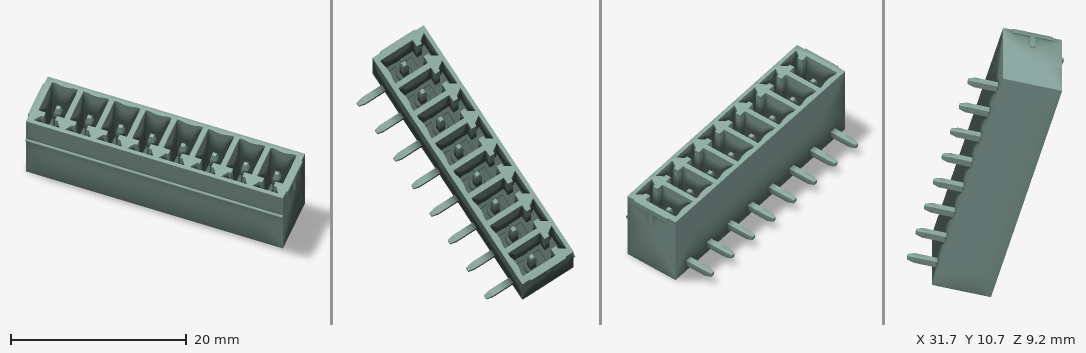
import cadquery as cq


TOTAL_LENGTH = 31.67
PAD_THICKNESS = 0.15
BODY_LENGTH = TOTAL_LENGTH - 2 * PAD_THICKNESS
BODY_DEPTH = 6.97
BODY_HEIGHT = 9.2

CELL_COUNT = 8
PITCH = 3.81
CELL_CENTERS = [(i - (CELL_COUNT - 1) / 2) * PITCH for i in range(CELL_COUNT)]

RIDGE_RADIUS = 0.22
RIDGE_Z = 5.8

PAD_BAR_WIDTH = 4.75
PAD_BAR_HEIGHT = 0.65
PAD_STEM_WIDTH = 0.57
PAD_HEIGHT = 2.47

CELL_WIDTH = 3.17
CELL_BACK = -0.57
CELL_FRONT = -4.97
CELL_FLOOR_Z = 2.53
BULGE_WIDTH = 2.22
BULGE_SAG = 0.175

NECK_WIDTH = 1.4
DOVETAIL_BACK = -5.65
DOVETAIL_FRONT = -6.5
DOVETAIL_BACK_WIDTH = 2.05

RECESS_DEPTH = 0.32
RECESS_Z = CELL_FLOOR_Z - RECESS_DEPTH
RECESS_FRONT = -4.5
CROSS_ARM_DEPTH = 0.85

BOSS_BASE_RADIUS = 0.95
BOSS_HEIGHT = 0.32
BOSS_ROUNDING = 0.25

PIN_SIZE = 0.8
PIN_Y = -2.8
TAIL_Z = 1.25
TAIL_LENGTH = 3.5
PIN_TOP_Z = 7.85
TIP_SIZE = 0.48
TIP_LENGTH = 0.75


def block(x_size, y_min, y_max, z_min, z_max):
    """Box centred on X = 0 between the given Y and Z limits."""
    return (
        cq.Workplane("XY", origin=(0, (y_min + y_max) / 2, z_min))
        .rect(x_size, y_max - y_min)
        .extrude(z_max - z_min)
    )


def ridge():
    return (
        cq.Workplane("YZ", origin=(-BODY_LENGTH / 2, -BODY_DEPTH, RIDGE_Z))
        .circle(RIDGE_RADIUS)
        .extrude(BODY_LENGTH)
    )


def end_pads():
    """T-shaped pads on both end faces, made as one T running the whole length."""
    middle_y = -BODY_DEPTH / 2
    bar = block(
        TOTAL_LENGTH,
        middle_y - PAD_BAR_WIDTH / 2,
        middle_y + PAD_BAR_WIDTH / 2,
        BODY_HEIGHT - PAD_BAR_HEIGHT,
        BODY_HEIGHT,
    )
    stem_radius = PAD_STEM_WIDTH / 2
    stem_end_z = BODY_HEIGHT - PAD_HEIGHT + stem_radius
    stem = block(TOTAL_LENGTH, middle_y - stem_radius, middle_y + stem_radius, stem_end_z, BODY_HEIGHT)
    stem_end = (
        cq.Workplane("YZ", origin=(-TOTAL_LENGTH / 2, middle_y, stem_end_z))
        .circle(stem_radius)
        .extrude(TOTAL_LENGTH)
    )
    return bar.union(stem).union(stem_end)


def cell_opening():
    """Cell and dovetail slot, with the back wall bulging into the cell."""
    half_cell = CELL_WIDTH / 2
    half_bulge = BULGE_WIDTH / 2
    half_neck = NECK_WIDTH / 2
    half_dovetail = DOVETAIL_BACK_WIDTH / 2
    return (
        cq.Workplane("XY", origin=(0, 0, RECESS_Z))
        .moveTo(-half_cell, CELL_BACK)
        .lineTo(-half_bulge, CELL_BACK)
        .threePointArc((0, CELL_BACK - BULGE_SAG), (half_bulge, CELL_BACK))
        .lineTo(half_cell, CELL_BACK)
        .lineTo(half_cell, CELL_FRONT)
        .lineTo(half_neck, CELL_FRONT)
        .lineTo(half_neck, DOVETAIL_BACK)
        .lineTo(half_dovetail, DOVETAIL_BACK)
        .lineTo(half_cell, DOVETAIL_FRONT)
        .lineTo(-half_cell, DOVETAIL_FRONT)
        .lineTo(-half_dovetail, DOVETAIL_BACK)
        .lineTo(-half_neck, DOVETAIL_BACK)
        .lineTo(-half_neck, CELL_FRONT)
        .lineTo(-half_cell, CELL_FRONT)
        .close()
        .extrude(BODY_HEIGHT - RECESS_Z)
    )


def floor_ledge():
    """Raised floor left around the cross-shaped recess."""
    floor = block(CELL_WIDTH, DOVETAIL_FRONT, CELL_BACK, RECESS_Z, CELL_FLOOR_Z)
    recess = block(BULGE_WIDTH, RECESS_FRONT, CELL_BACK, RECESS_Z, CELL_FLOOR_Z)
    half_arm = CROSS_ARM_DEPTH / 2
    arms = block(CELL_WIDTH, PIN_Y - half_arm, PIN_Y + half_arm, RECESS_Z, CELL_FLOOR_Z)
    return floor.cut(recess).cut(arms)


def boss():
    """Low round boss with a rounded shoulder."""
    return (
        cq.Workplane("XY", origin=(0, PIN_Y, RECESS_Z))
        .circle(BOSS_BASE_RADIUS)
        .extrude(BOSS_HEIGHT)
        .faces(">Z")
        .edges()
        .fillet(BOSS_ROUNDING)
    )


def tapered_tip():
    """Blunt pyramid that rises along Z from the origin."""
    return (
        cq.Workplane("XY")
        .rect(PIN_SIZE, PIN_SIZE)
        .workplane(offset=TIP_LENGTH)
        .rect(TIP_SIZE, TIP_SIZE)
        .loft()
    )


def make_pin():
    """Right-angle pin: post up into the cell, tail out through the back wall."""
    half_pin = PIN_SIZE / 2
    post_end = PIN_TOP_Z - TIP_LENGTH
    tail_end = TAIL_LENGTH - TIP_LENGTH
    post = block(PIN_SIZE, PIN_Y - half_pin, PIN_Y + half_pin, TAIL_Z - half_pin, post_end)
    tail = block(PIN_SIZE, PIN_Y - half_pin, tail_end, TAIL_Z - half_pin, TAIL_Z + half_pin)
    post_tip = tapered_tip().translate((0, PIN_Y, post_end))
    tail_tip = tapered_tip().rotate((0, 0, 0), (1, 0, 0), -90).translate((0, tail_end, TAIL_Z))
    return post.union(tail).union(post_tip).union(tail_tip)


def make_housing(pins):
    """Housing with its cells, and a matching passage for every pin."""
    body = block(BODY_LENGTH, -BODY_DEPTH, 0, 0, BODY_HEIGHT).union(ridge()).union(end_pads())
    cell_void = cell_opening().cut(floor_ledge()).cut(boss())
    for x in CELL_CENTERS:
        body = body.cut(cell_void.translate((x, 0, 0)))
    for pin in pins:
        body = body.cut(pin)
    return body


pins = [make_pin().translate((x, 0, 0)) for x in CELL_CENTERS]
housing = make_housing(pins)

result = cq.Compound.makeCompound([housing.solids().val(), *[pin.solids().val() for pin in pins]])